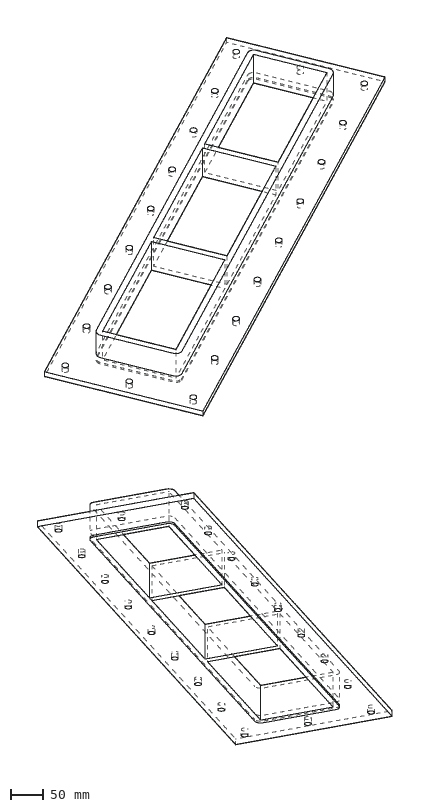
import cadquery as cq

window_width = 120.5
window_length = 218.0
window_count = 3
wall = 10.0
frame_height = 60.0
frame_corner_radius = 10.0

flange_margin = 60.0
flange_thickness = 10.0
flange_offset = 3.0

bolt_diameter = 10.5
bolt_inset = 25.0
side_bolt_count = 9
end_bolt_count = 3

window_pitch = window_length + wall
frame_width = window_width + 2 * wall
frame_length = window_count * window_pitch + wall
flange_width = frame_width + 2 * flange_margin
flange_length = frame_length + 2 * flange_margin
bolt_span_x = flange_width - 2 * bolt_inset
bolt_span_y = flange_length - 2 * bolt_inset


def spaced(span, count):
    """Evenly spaced positions over a span centred on zero."""
    return [span * (i / (count - 1) - 0.5) for i in range(count)]


def make_frame():
    return (
        cq.Workplane("XY")
        .rect(frame_width, frame_length)
        .extrude(frame_height)
        .edges("|Z")
        .fillet(frame_corner_radius)
    )


def make_flange():
    return (
        cq.Workplane("XY", origin=(0, 0, flange_offset))
        .rect(flange_width, flange_length)
        .extrude(flange_thickness)
    )


def make_windows():
    centres = [(0, y) for y in spaced((window_count - 1) * window_pitch, window_count)]
    return (
        cq.Workplane("XY")
        .pushPoints(centres)
        .rect(window_width, window_length)
        .extrude(frame_height)
    )


def make_bolt_holes():
    half_x = bolt_span_x / 2
    half_y = bolt_span_y / 2
    side_points = [(x, y) for x in (-half_x, half_x) for y in spaced(bolt_span_y, side_bolt_count)]
    end_points = [(x, y) for y in (-half_y, half_y) for x in spaced(bolt_span_x, end_bolt_count)[1:-1]]
    return (
        cq.Workplane("XY", origin=(0, 0, flange_offset))
        .pushPoints(side_points + end_points)
        .circle(bolt_diameter / 2)
        .extrude(flange_thickness)
    )


result = make_flange().union(make_frame()).cut(make_windows()).cut(make_bolt_holes())